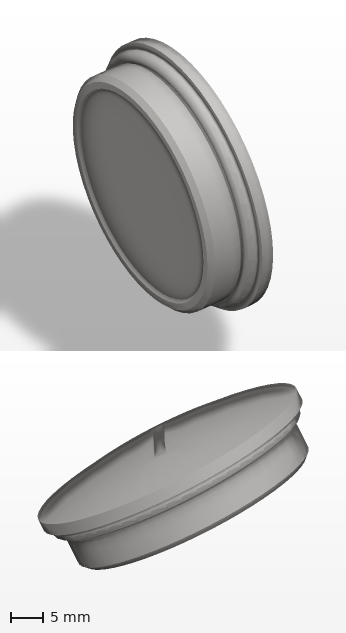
import cadquery as cq

flange_radius = 22.5
plug_radius = 40.0 / 2
front_land_radius = 38.3 / 2
neck_radius = 19.6
recess_mouth_radius = 18.0
recess_floor_radius = 17.5

recess_depth = 0.5
neck_start = 6.0
flange_front = 8.0
flange_back = 10.0
dome_apex = 13.0

ring_section_radius = 1.2
ring_center_y = 7.25
ring_outer_radius = 21.6

slot_width = 2.0
slot_depth = 0.65

front_chamfer = plug_radius - front_land_radius
rear_chamfer = plug_radius - neck_radius


def make_cap():
    """Revolve the plug, neck, flange and domed back around Y."""
    dome_rise = dome_apex - flange_back
    dome_radius = (flange_radius**2 + dome_rise**2) / (2 * dome_rise)
    dome_mid_radius = flange_radius / 2
    dome_mid_y = dome_apex - dome_radius + (dome_radius**2 - dome_mid_radius**2) ** 0.5
    return (
        cq.Workplane("XY")
        .moveTo(0, recess_depth)
        .lineTo(recess_floor_radius, recess_depth)
        .lineTo(recess_mouth_radius, 0)
        .lineTo(front_land_radius, 0)
        .lineTo(plug_radius, front_chamfer)
        .lineTo(plug_radius, neck_start - rear_chamfer)
        .lineTo(neck_radius, neck_start)
        .lineTo(neck_radius, flange_front)
        .lineTo(flange_radius, flange_front)
        .lineTo(flange_radius, flange_back)
        .threePointArc((dome_mid_radius, dome_mid_y), (0, dome_apex))
        .close()
        .revolve(360, (0, 0, 0), (0, 1, 0))
    )


def make_ring():
    """Round-section ring overlapping both the flange and the neck."""
    center_radius = ring_outer_radius - ring_section_radius
    ring = cq.Solid.makeTorus(
        center_radius,
        ring_section_radius,
        cq.Vector(0, ring_center_y, 0),
        cq.Vector(0, 1, 0),
    )
    return cq.Workplane(obj=ring)


def make_slot():
    """Flat-bottomed slot running along Z through the crown of the dome."""
    return (
        cq.Workplane("XY")
        .box(slot_width, slot_depth, 2 * flange_radius, centered=(True, False, True))
        .translate((0, dome_apex - slot_depth, 0))
    )


result = make_cap().union(make_ring()).cut(make_slot())